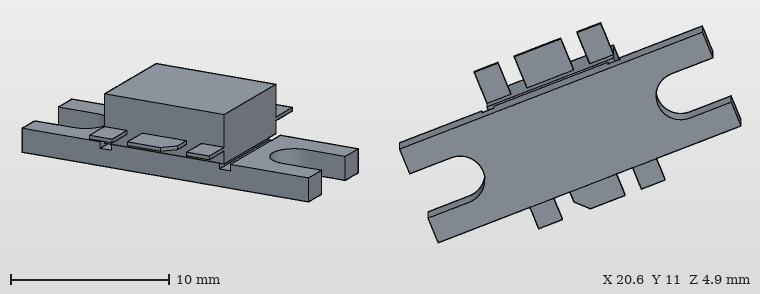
import cadquery as cq


flange_length = 20.6
flange_width = 6.6
flange_thickness = 1.6

slot_width = 3.11
slot_floor_x = 5.93
left_slot_y = -0.06
right_slot_y = 0

groove_width = 0.8
groove_depth = 0.43
groove_x = 4.28

body_length = 8.61
body_width = 6.84
overall_height = 4.9

lead_bottom_z = 2.47
lead_thickness = 0.25
back_lead_tip_y = 5.6
front_lead_tip_y = -5.4
side_lead_width = 1.63
center_lead_width = 3.17
lead_corner_cut = 0.8


def block(x_size, y_size, z_bottom, z_top, x=0.0, y=0.0):
    """Box centered at (x, y) between two heights."""
    height = z_top - z_bottom
    return cq.Workplane("XY", origin=(x, y, z_bottom)).box(
        x_size, y_size, height, centered=(True, True, False)
    )


def open_slot(side, slot_y):
    """Cutter for a round-ended slot open toward the -X (side=-1) or +X (side=1) end."""
    radius = slot_width / 2
    arc_center_x = slot_floor_x + radius
    open_end_x = flange_length / 2 + slot_width
    straight_length = open_end_x - arc_center_x
    straight_middle_x = arc_center_x + straight_length / 2
    round_end = (
        cq.Workplane("XY", origin=(side * arc_center_x, slot_y, 0))
        .circle(radius)
        .extrude(flange_thickness)
    )
    straight = block(
        straight_length, slot_width, 0, flange_thickness, side * straight_middle_x, slot_y
    )
    return round_end.union(straight)


def make_flange():
    flange = block(flange_length, flange_width, 0, flange_thickness)
    for side, slot_y in ((-1, left_slot_y), (1, right_slot_y)):
        groove = block(
            groove_width,
            flange_width,
            flange_thickness - groove_depth,
            flange_thickness,
            side * groove_x,
        )
        flange = flange.cut(open_slot(side, slot_y)).cut(groove)
    return flange


def make_lead(x, width):
    """Straight strip passing through the body from the front tip to the back tip."""
    length = back_lead_tip_y - front_lead_tip_y
    middle_y = (back_lead_tip_y + front_lead_tip_y) / 2
    lead_top_z = lead_bottom_z + lead_thickness
    return block(width, length, lead_bottom_z, lead_top_z, x, middle_y)


def make_leads():
    side_lead_x = (body_length - side_lead_width) / 2
    center_lead = (
        make_lead(0, center_lead_width).edges("|Z and >X and <Y").chamfer(lead_corner_cut)
    )
    return [
        make_lead(-side_lead_x, side_lead_width),
        center_lead,
        make_lead(side_lead_x, side_lead_width),
    ]


result = make_flange().union(block(body_length, body_width, flange_thickness, overall_height))
for lead in make_leads():
    result = result.union(lead)